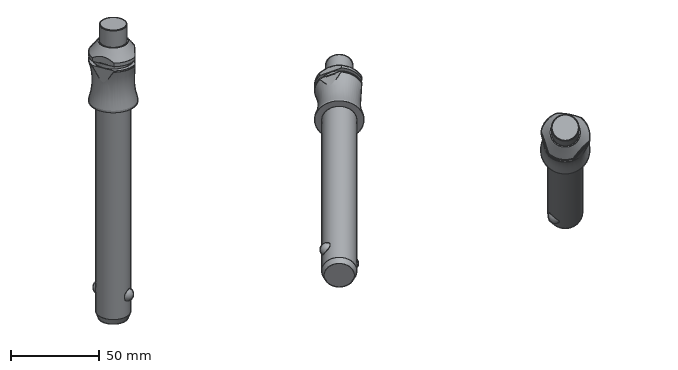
import cadquery as cq
import math

total_height = 190.5
tip_height = 3.8
handle_base = 140.5
flare_start = 141.5
waist_height = 154.4
groove_bottom = 167.7
groove_top = 170.4
cone_base = 172.6
cone_top = 179.0
ledge_height = 179.5
rim_height = 1.0

tip_radius = 8.5
shank_diameter = 20.0
shank_radius = shank_diameter / 2
handle_diameter = 28.0
handle_radius = handle_diameter / 2
waist_radius = 12.0
groove_radius = 11.8
cone_top_radius = 9.1
ledge_radius = 8.5
button_radius = 7.8
button_chamfer = 0.4

flat_count = 3
flat_distance = 12.2

ball_radius = 4.0
ball_reach = 12.5
ball_height = 17.0


def flare_radius(height):
    """Radius of the concave handle, on an arc tangent to the waist and meeting the flare's edge."""
    rise = waist_height - flare_start
    growth = handle_radius - waist_radius
    arc_radius = (rise**2 + growth**2) / (2 * growth)
    offset = height - waist_height
    return waist_radius + arc_radius - math.sqrt(arc_radius**2 - offset**2)


def revolve_profile(profile):
    return profile.close().revolve(360, (0, 0, 0), (0, 1, 0))


def make_shank():
    return revolve_profile(
        cq.Workplane("XZ")
        .lineTo(tip_radius, 0)
        .lineTo(shank_radius, tip_height)
        .lineTo(shank_radius, handle_base)
        .lineTo(0, handle_base)
    )


def make_handle():
    rim_bottom = groove_bottom - rim_height
    lower_middle = (flare_start + waist_height) / 2
    upper_middle = (waist_height + rim_bottom) / 2
    return revolve_profile(
        cq.Workplane("XZ")
        .moveTo(0, handle_base)
        .lineTo(handle_radius, handle_base)
        .lineTo(handle_radius, flare_start)
        .threePointArc(
            (flare_radius(lower_middle), lower_middle),
            (waist_radius, waist_height),
        )
        .threePointArc(
            (flare_radius(upper_middle), upper_middle),
            (flare_radius(rim_bottom), rim_bottom),
        )
        .lineTo(handle_radius, rim_bottom)
        .lineTo(handle_radius, groove_bottom)
        .lineTo(groove_radius, groove_bottom)
        .lineTo(groove_radius, groove_top)
        .lineTo(handle_radius, groove_top)
        .lineTo(handle_radius, cone_base)
        .lineTo(cone_top_radius, cone_top)
        .lineTo(ledge_radius, ledge_height)
        .lineTo(0, ledge_height)
    )


def cut_grip_flats(handle):
    """Cut evenly spaced flats, the first one facing -Y."""
    depth = handle_radius
    length = ledge_height - waist_height
    cutter = (
        cq.Workplane("XY", origin=(0, -flat_distance - depth / 2, waist_height))
        .box(2 * handle_radius, depth, length, centered=(True, True, False))
    )
    for index in range(flat_count):
        angle = index * 360 / flat_count
        handle = handle.cut(cutter.rotate((0, 0, 0), (0, 0, 1), angle))
    return handle


def make_button():
    return (
        cq.Workplane("XY", origin=(0, 0, ledge_height))
        .circle(button_radius)
        .extrude(total_height - ledge_height)
        .faces(">Z")
        .chamfer(button_chamfer)
    )


def make_ball(side):
    center_x = side * (ball_reach - ball_radius)
    return cq.Workplane("XY", origin=(center_x, 0, ball_height)).sphere(ball_radius)


result = make_shank().union(cut_grip_flats(make_handle())).union(make_button())
for side in (-1, 1):
    result = result.union(make_ball(side))